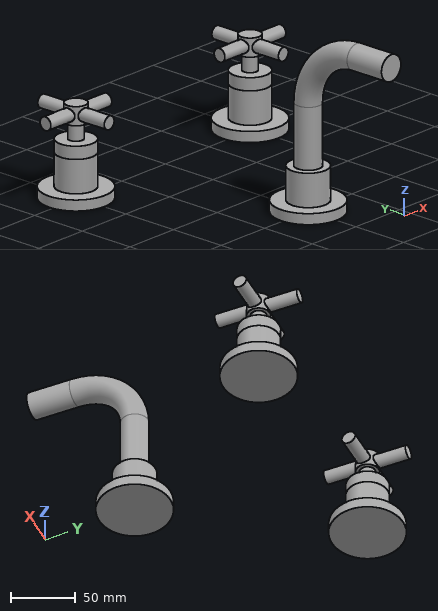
import cadquery as cq

overall_depth = 274.7
overall_height = 152.5
valve_spacing = 199.7
valve_setback = 152.5

flange_diameter = 60.5
flange_height = 9.3
shoulder_height = 38.0

valve_diameter = 34.0
cap_top = 49.0
stem_diameter = 13.0
hub_diameter = 19.0
hub_bottom = 63.0
hub_top = 78.8
bar_diameter = 11.5
bar_length = 70.0
bar_height = (hub_bottom + hub_top) / 2

collar_diameter = 35.0
tube_diameter = 22.5
bend_radius = 50.8
outlet_height = overall_height - tube_diameter / 2
bend_start = outlet_height - bend_radius
spout_reach = overall_depth - valve_setback - bar_length / 2


def upright_cylinder(diameter, bottom, top):
    return cq.Workplane("XY").workplane(offset=bottom).circle(diameter / 2).extrude(top - bottom)


def flanged_base(body_diameter):
    """Round wall flange with a coaxial cylinder rising to the shoulder."""
    flange = upright_cylinder(flange_diameter, 0, flange_height)
    return flange.union(upright_cylinder(body_diameter, flange_height, shoulder_height))


def cross_bar(plane):
    """Horizontal round bar centred on the valve axis, normal to the given plane."""
    bar = cq.Workplane(plane).circle(bar_diameter / 2).extrude(bar_length / 2, both=True)
    return bar.translate((0, 0, bar_height))


def make_handle():
    """Cap resting on the valve base, with stem, hub and two crossed bars."""
    cap = upright_cylinder(valve_diameter, shoulder_height, cap_top)
    stem = upright_cylinder(stem_diameter, cap_top, hub_bottom)
    hub = upright_cylinder(hub_diameter, hub_bottom, hub_top)
    return cap.union(stem).union(hub).union(cross_bar("YZ")).union(cross_bar("XZ"))


def make_spout():
    """Flanged collar carrying a tube that bends from vertical to -Y."""
    path = (
        cq.Workplane("YZ")
        .moveTo(0, shoulder_height)
        .lineTo(0, bend_start)
        .tangentArcPoint((-bend_radius, outlet_height), relative=False)
        .lineTo(-spout_reach, outlet_height)
    )
    tube = cq.Workplane("XY").workplane(offset=shoulder_height).circle(tube_diameter / 2).sweep(path)
    return flanged_base(collar_diameter).union(tube)


spout = make_spout()
valve_bases = []
handles = []
for side in (-1, 1):
    position = (side * valve_spacing / 2, valve_setback, 0)
    valve_bases.append(flanged_base(valve_diameter).translate(position))
    handles.append(make_handle().translate(position))

result = cq.Compound.makeCompound([
    spout.val(),
    *[base.val() for base in valve_bases],
    *[handle.val() for handle in handles],
])